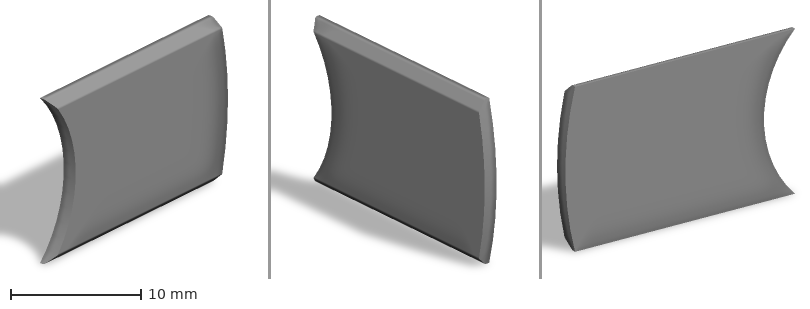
import cadquery as cq

thickness = 1.2
length = 20.85
height = 14.0
convex_rise = 0.88
concave_depth = 2.82
bevel = 0.8
shoulder_radius = 0.33
face_radius = 0.2

half_length = length / 2
half_height = height / 2


def plate_blank():
    """Plate with a convex +Y end and a concave -Y end."""
    corner_y = half_length - convex_rise
    return (
        cq.Workplane("YZ")
        .moveTo(-half_length, -half_height)
        .lineTo(corner_y, -half_height)
        .threePointArc((half_length, 0), (corner_y, half_height))
        .lineTo(-half_length, half_height)
        .threePointArc((concave_depth - half_length, 0), (-half_length, -half_height))
        .close()
        .extrude(thickness)
    )


def bevelled_bar():
    """Bar with the plate's cross-section, running the full length along Y."""
    narrow_edge_x = thickness - bevel
    face_z = half_height - bevel
    bar = (
        cq.Workplane("XZ")
        .moveTo(0, -half_height)
        .lineTo(narrow_edge_x, -half_height)
        .lineTo(thickness, -face_z)
        .lineTo(thickness, face_z)
        .lineTo(narrow_edge_x, half_height)
        .lineTo(0, half_height)
        .close()
        .extrude(half_length, both=True)
    )
    bar = bar.edges("|Y and >Z").edges(">X").fillet(shoulder_radius)
    bar = bar.edges("|Y and <Z").edges(">X").fillet(shoulder_radius)
    return bar.edges("|Y and >X").fillet(face_radius)


result = plate_blank().intersect(bevelled_bar())